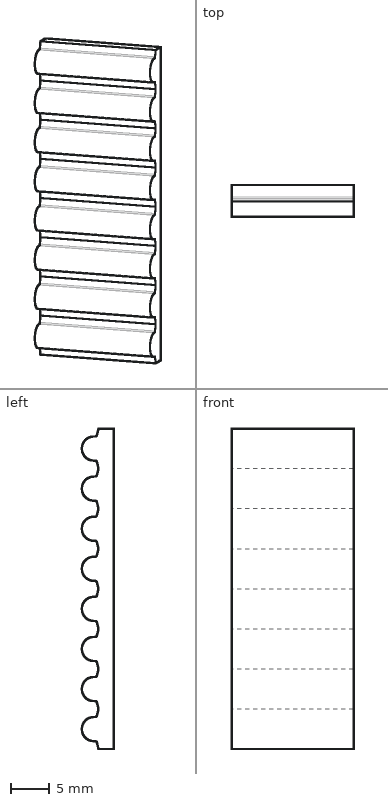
import cadquery as cq

length = 41.9
width = 16.0
thickness = 4.2
tooth_count = 8
tooth_radius = 1.6
root_height = 2.25
valley_height = 2.0
root_fillet = 0.2

pitch = length / tooth_count
tooth_center_y = thickness - tooth_radius


def belt_outline():
    """Side outline in the YZ plane, going up tooth by tooth."""
    bottom = -length / 2
    outline = cq.Workplane("YZ").moveTo(0, bottom).lineTo(valley_height, bottom)
    for index in range(tooth_count):
        center_z = bottom + (index + 0.5) * pitch
        lower_flank = center_z - tooth_radius
        upper_flank = center_z + tooth_radius
        outline = (
            outline.lineTo(root_height, lower_flank)
            .lineTo(tooth_center_y, lower_flank)
            .threePointArc((thickness, center_z), (tooth_center_y, upper_flank))
            .lineTo(root_height, upper_flank)
            .lineTo(valley_height, center_z + pitch / 2)
        )
    return outline.lineTo(0, length / 2).close()


def root_edges(belt):
    """Long edges where the tooth flanks meet the valley floor."""
    tolerance = 0.005
    return belt.edges("|X").filter(
        lambda edge: abs(edge.Center().y - root_height) < tolerance
    )


belt = belt_outline().extrude(width / 2, both=True)
result = root_edges(belt).fillet(root_fillet)